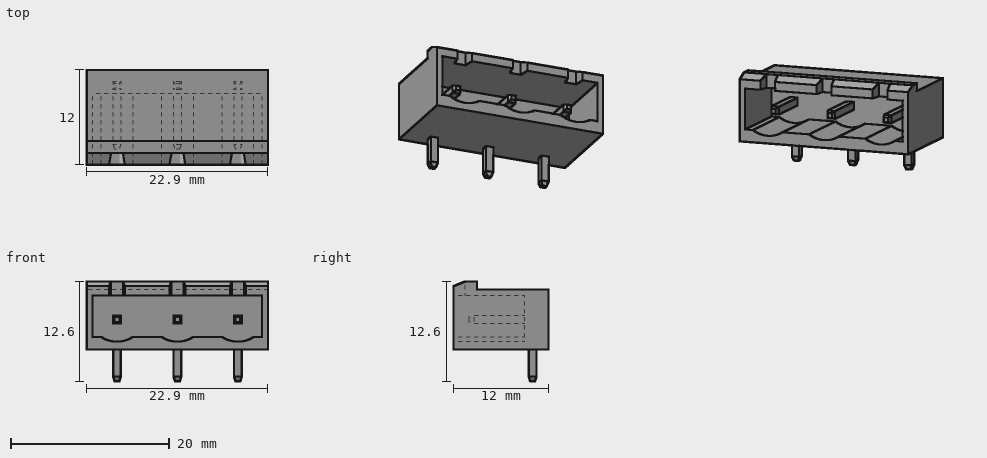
import cadquery as cq
import math


pole_count = 3
pitch = 7.62
pole_positions = [(i - (pole_count - 1) / 2) * pitch for i in range(pole_count)]

housing_width = pole_count * pitch
housing_depth = 12.0
housing_height = 7.6

lip_height = 1.0
lip_depth = 3.0
lip_slope_depth = 1.5
lip_slope_drop = 0.6
lip_top = housing_height + lip_height

wall = 0.75
floor_thickness = 1.6
cavity_depth = 9.0
cavity_width = housing_width - 2 * wall
cavity_top = housing_height - wall

groove_width = 4.0
groove_depth = 0.6

notch_front_width = 2.0
notch_back_width = 1.5
notch_depth = lip_slope_depth

pin_size = 1.0
tip_size = 0.6
tip_length = 0.6
pin_height = 3.8
pin_front_gap = 2.0
pin_drop = 4.0
leg_back_gap = 2.0
leg_y = housing_depth - leg_back_gap


def make_housing():
    """Solid side profile extruded along the row of poles."""
    profile = [
        (0, 0),
        (housing_depth, 0),
        (housing_depth, housing_height),
        (lip_depth, housing_height),
        (lip_depth, lip_top),
        (lip_slope_depth, lip_top),
        (0, lip_top - lip_slope_drop),
    ]
    return cq.Workplane("YZ").polyline(profile).close().extrude(housing_width / 2, both=True)


def make_cavity():
    """Rectangular pocket whose floor dips into a shallow arc below each pole."""
    outline = cq.Workplane("XZ").moveTo(-cavity_width / 2, floor_thickness)
    for x in pole_positions:
        outline = outline.lineTo(x - groove_width / 2, floor_thickness).threePointArc(
            (x, floor_thickness - groove_depth), (x + groove_width / 2, floor_thickness)
        )
    outline = (
        outline.lineTo(cavity_width / 2, floor_thickness)
        .lineTo(cavity_width / 2, cavity_top)
        .lineTo(-cavity_width / 2, cavity_top)
        .close()
    )
    return outline.extrude(-cavity_depth)


def make_notch(x):
    """Wedge that narrows toward the back, from the cavity up through the lip."""
    plan = [
        (x - notch_front_width / 2, 0),
        (x + notch_front_width / 2, 0),
        (x + notch_back_width / 2, notch_depth),
        (x - notch_back_width / 2, notch_depth),
    ]
    base = cq.Workplane("XY", origin=(0, 0, cavity_top))
    return base.polyline(plan).close().extrude(lip_top - cavity_top)


def make_pin_arm(start, direction, length):
    """Square bar from start along direction, its far end tapering to the tip."""
    plane = cq.Plane(origin=start, xDir=(1, 0, 0), normal=direction)
    shank_length = length - tip_length
    shank = cq.Workplane(plane).rect(pin_size, pin_size).extrude(shank_length)
    taper_angle = math.degrees(math.atan2((pin_size - tip_size) / 2, tip_length))
    tip = (
        cq.Workplane(plane)
        .workplane(offset=shank_length)
        .rect(pin_size, pin_size)
        .extrude(tip_length, taper=taper_angle)
    )
    return shank.union(tip)


def make_pin(x):
    """Right-angle pin: a contact pointing forward and a solder leg pointing down."""
    half = pin_size / 2
    contact = make_pin_arm((x, leg_y + half, pin_height), (0, -1, 0), leg_y + half - pin_front_gap)
    leg = make_pin_arm((x, leg_y, pin_height + half), (0, 0, -1), pin_height + half + pin_drop)
    return contact.union(leg)


result = make_housing().cut(make_cavity())
for pole_x in pole_positions:
    result = result.cut(make_notch(pole_x)).union(make_pin(pole_x))